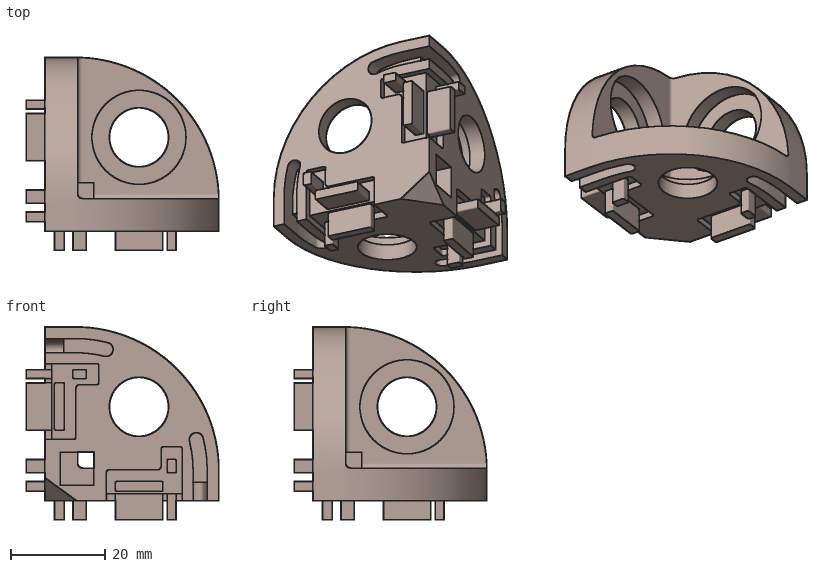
import cadquery as cq
import math

side = 37.0
plate_thickness = 7.0
rim_center = 6.5
inner_fillet = 1.0

bore_center = 20.0
bore_diameter = 12.5
counterbore_diameter = 20.0
counterbore_depth = 3.5

slot_radius = 26.5
slot_width = 3.0
slot_depth = 4.0
slot_angle = 14.2

recess_depth = 1.5
recess_start = 13.1
recess_end = 29.2
recess_long_reach = 6.6
recess_short_reach = 11.5
recess_short_width = 4.5
recess_corner = 0.5
recess_inner_corner = 0.8

pin_height = 4.0
pin_edge = 0.3
blade_length = 10.1
blade_width = 2.1
blade_start = 15.0
blade_inset = 2.05
peg_length = 1.9
peg_width = 2.9
peg_start = 26.0
peg_inset = 5.95

cavity_start = 3.3
cavity_end = 10.4

corner_cut_side = 6.8
corner_cut_height = 4.95

plate_turns = (120, 240)

rim_radius = side - rim_center


def turned(feature, angle):
    """The feature turned about the body diagonal through the origin."""
    return feature.rotate((0, 0, 0), (1, 1, 1), angle)


def on_both_edges(feature):
    """The feature beside the X edge, together with its mirror image beside the Y edge."""
    twin = feature.mirror("XZ").rotate((0, 0, 0), (0, 0, 1), 90)
    return feature.union(twin)


def on_all_plates(feature):
    """A feature of the Z = 0 plate, repeated on the other two plates."""
    combined = feature
    for angle in plate_turns:
        combined = combined.union(turned(feature, angle))
    return combined


def make_quarter_round():
    """Quarter-round prism standing on Z = 0 with its square corner at the origin."""
    arc_middle = rim_center + rim_radius * math.cos(math.radians(45))
    return (
        cq.Workplane("XY")
        .lineTo(side, 0)
        .lineTo(side, rim_center)
        .threePointArc((arc_middle, arc_middle), (rim_center, side))
        .lineTo(0, side)
        .close()
        .extrude(side)
    )


def make_shell():
    """Three plates meeting at right angles, with their inside edges rounded."""
    prism = make_quarter_round()
    block = prism
    for angle in plate_turns:
        block = block.intersect(turned(prism, angle))
    hollow = (
        cq.Workplane("XY")
        .box(side, side, side, centered=False)
        .edges("(<X and <Y) or (<X and <Z) or (<Y and <Z)")
        .fillet(inner_fillet)
        .translate((plate_thickness, plate_thickness, plate_thickness))
    )
    return block.cut(hollow)


def make_bore():
    """Through hole with a counterbore on the inner face of the plate."""
    hole = (
        cq.Workplane("XY")
        .center(bore_center, bore_center)
        .circle(bore_diameter / 2)
        .extrude(plate_thickness)
    )
    counterbore = (
        cq.Workplane("XY", origin=(0, 0, plate_thickness - counterbore_depth))
        .center(bore_center, bore_center)
        .circle(counterbore_diameter / 2)
        .extrude(counterbore_depth)
    )
    return hole.union(counterbore)


def rim_point(radius, degrees):
    """Point at a radius and angle about the centre of the rounded rim."""
    turn = math.radians(degrees)
    return (rim_center + radius * math.cos(turn), rim_center + radius * math.sin(turn))


def make_slot():
    """Blind slot running in from the Y = 0 edge, then curving with the rim to a round end."""
    half_width = slot_width / 2
    inner_radius = slot_radius - half_width
    outer_radius = slot_radius + half_width
    end_x, end_y = rim_point(slot_radius, slot_angle)
    turn = math.radians(slot_angle)
    tip = (end_x - half_width * math.sin(turn), end_y + half_width * math.cos(turn))
    return (
        cq.Workplane("XY")
        .moveTo(rim_center + inner_radius, 0)
        .lineTo(rim_center + outer_radius, 0)
        .lineTo(*rim_point(outer_radius, 0))
        .threePointArc(rim_point(outer_radius, slot_angle / 2), rim_point(outer_radius, slot_angle))
        .threePointArc(tip, rim_point(inner_radius, slot_angle))
        .threePointArc(rim_point(inner_radius, slot_angle / 2), rim_point(inner_radius, 0))
        .close()
        .extrude(slot_depth)
    )


def make_recess():
    """Shallow L-shaped recess, open at the Y = 0 edge."""
    inner_x = recess_end - recess_short_width
    outline = (
        cq.Workplane("XY")
        .moveTo(recess_start, 0)
        .lineTo(recess_end, 0)
        .lineTo(recess_end, recess_short_reach)
        .lineTo(inner_x, recess_short_reach)
        .lineTo(inner_x, recess_long_reach)
        .lineTo(recess_start, recess_long_reach)
        .close()
        .extrude(recess_depth)
    )
    corners = (
        (inner_x, recess_long_reach, recess_inner_corner),
        (recess_start, recess_long_reach, recess_corner),
        (inner_x, recess_short_reach, recess_corner),
        (recess_end, recess_short_reach, recess_corner),
    )
    for x, y, radius in corners:
        corner = cq.selectors.NearestToPointSelector((x, y, recess_depth / 2))
        outline = outline.edges(corner).fillet(radius)
    return outline


def make_pin(start, inset, length, width):
    """Bar with rounded long edges, standing out from the recess floor."""
    return (
        cq.Workplane("XY")
        .box(length, width, pin_height + recess_depth, centered=False)
        .edges("|Z")
        .fillet(pin_edge)
        .translate((start, inset, -pin_height))
    )


def make_cavity():
    """Square cavity reaching the inside of the corner, open at the Y = 0 face."""
    width = cavity_end - cavity_start
    return (
        cq.Workplane("XY")
        .box(width, cavity_end, width, centered=False)
        .translate((cavity_start, 0, cavity_start))
    )


def make_corner_cut():
    """Tetrahedron that slopes off the outer corner at the origin."""
    corner = cq.Vector(0, 0, 0)
    on_x = cq.Vector(corner_cut_side, 0, 0)
    on_y = cq.Vector(0, corner_cut_side, 0)
    on_z = cq.Vector(0, 0, corner_cut_height)
    triangles = (
        (corner, on_y, on_x),
        (corner, on_x, on_z),
        (corner, on_z, on_y),
        (on_x, on_y, on_z),
    )
    faces = [
        cq.Face.makeFromWires(cq.Wire.makePolygon(triangle, close=True))
        for triangle in triangles
    ]
    return cq.Workplane(cq.Solid.makeSolid(cq.Shell.makeShell(faces)))


body = make_shell()
body = body.cut(on_all_plates(make_bore()))
body = body.cut(on_all_plates(on_both_edges(make_slot())))
body = body.cut(on_all_plates(on_both_edges(make_recess())))
body = body.cut(make_cavity())
body = body.cut(make_corner_cut())

blade = make_pin(blade_start, blade_inset, blade_length, blade_width)
peg = make_pin(peg_start, peg_inset, peg_length, peg_width)
result = body.union(on_all_plates(on_both_edges(blade.union(peg))))